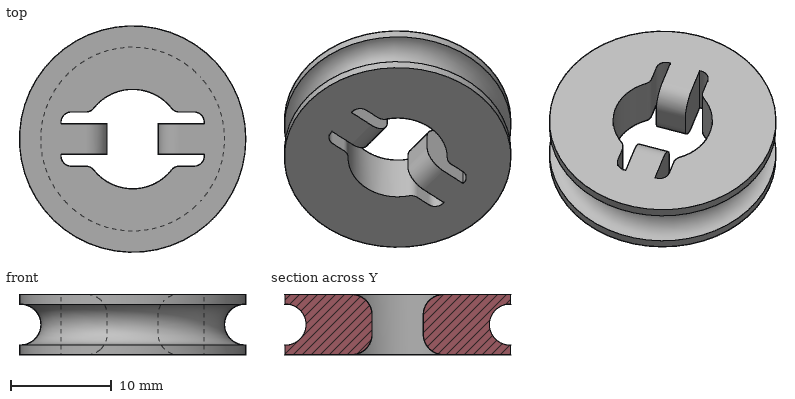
import cadquery as cq

wheel_diameter = 22.5
wheel_width = 6.0
rim_width = 1.0
groove_radius = wheel_width / 2 - rim_width
groove_depth = 2.12

bore_diameter = 9.85
slot_length = 14.2
slot_width = 5.35
slot_corner_radius = 1.0
bore_slot_blend = 1.0

tab_width = 3.05
tab_gap = 5.06
tab_nose_radius = 2.05
tab_root_overlap = 0.45

wheel_radius = wheel_diameter / 2
half_width = wheel_width / 2


def make_wheel():
    """Solid wheel with a half-round groove around its rim."""
    groove_bottom = wheel_radius - groove_depth
    groove_edge = groove_bottom + groove_radius
    return (
        cq.Workplane("XZ")
        .moveTo(0, -half_width)
        .lineTo(wheel_radius, -half_width)
        .lineTo(wheel_radius, -groove_radius)
        .lineTo(groove_edge, -groove_radius)
        .threePointArc((groove_bottom, 0), (groove_edge, groove_radius))
        .lineTo(wheel_radius, groove_radius)
        .lineTo(wheel_radius, half_width)
        .lineTo(0, half_width)
        .close()
        .revolve(360, (0, 0, 0), (0, 1, 0))
    )


def make_opening():
    """Through opening: round bore joined to a rounded cross slot."""
    slot = (
        cq.Workplane("XY")
        .box(slot_length, slot_width, wheel_width)
        .edges("|Z")
        .fillet(slot_corner_radius)
    )
    bore = cq.Workplane("XY").circle(bore_diameter / 2).extrude(half_width, both=True)
    corner_zone = cq.selectors.BoxSelector(
        (-bore_diameter / 2, -slot_width, -half_width),
        (bore_diameter / 2, slot_width, half_width),
    )
    return bore.union(slot).edges("|Z").edges(corner_zone).fillet(bore_slot_blend)


def make_tab(side):
    """Full-width tab at one slot end, with its nose rounded top and bottom."""
    length = (slot_length - tab_gap) / 2 + tab_root_overlap
    center_x = side * (tab_gap + length) / 2
    nose = "<X" if side > 0 else ">X"
    return (
        cq.Workplane("XY")
        .box(length, tab_width, wheel_width)
        .translate((center_x, 0, 0))
        .faces(nose)
        .edges("|Y")
        .fillet(tab_nose_radius)
    )


result = make_wheel().cut(make_opening())
for side in (-1, 1):
    result = result.union(make_tab(side))